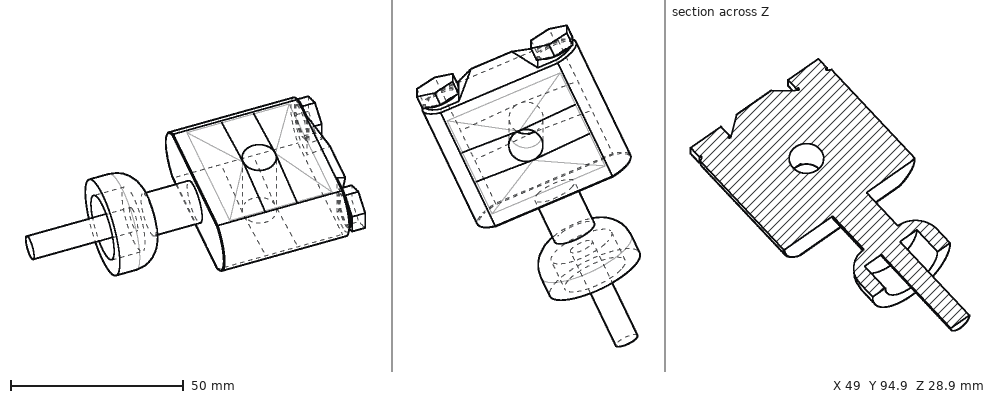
import cadquery as cq
import math

body_half_width = 24.5
body_half_height = 9.6
flat_half_width = 18.6
seat_y = 39.3
edge_chamfer = 0.3

shoulder_y = 38.6
ridge_y = 44.1
ridge_half_width = 6.45
wedge_half_width = 12.5

hole_y = 19.9
hole_radius = 4.9
pad_half_height = 11.6
pad_half_width = 17.9
pad_half_length = 15.7
pad_root = 8.5

bolt_x = 18.1
head_across_flats = 11.4
head_bottom_y = 39.7
head_top_y = 43.8
washer_radius = 5.1

stem_radius = 6.4
stem_length = 14.2
cup_diameter = 28.9
cup_length = 14.1
cup_rounding = 8.1
bore_radius = 9.7
bore_depth = 9.5
rod_radius = 3.5
overall_length = 94.85
rod_end_y = ridge_y - overall_length


def rod_along_y(radius, start_y, end_y, x=0.0):
    """Cylinder parallel to Y between two Y positions."""
    disc = cq.Workplane("XZ", origin=(x, start_y, 0)).circle(radius)
    return disc.extrude(start_y - end_y)


def body_outline(y):
    """Closed outline of the body, flat on both sides and rounded at both ends."""
    return (
        cq.Workplane("XZ", origin=(0, y, 0))
        .moveTo(-flat_half_width, body_half_height)
        .lineTo(flat_half_width, body_half_height)
        .threePointArc((body_half_width, 0), (flat_half_width, -body_half_height))
        .lineTo(-flat_half_width, -body_half_height)
        .threePointArc((-body_half_width, 0), (-flat_half_width, body_half_height))
        .close()
    )


def make_body():
    """Rounded block up to the bolt seats, with a wedge between the bolts behind it."""
    block = body_outline(0).extrude(-shoulder_y).faces("<Y").chamfer(edge_chamfer)
    bevel_angle = math.degrees(math.atan2(body_half_height, ridge_y - shoulder_y))
    bevel = body_outline(shoulder_y).extrude(shoulder_y - seat_y, taper=bevel_angle)
    return block.union(bevel).union(make_wedge())


def make_wedge():
    side = (
        cq.Workplane("YZ")
        .polyline([
            (shoulder_y, -body_half_height),
            (ridge_y, 0),
            (shoulder_y, body_half_height),
        ])
        .close()
        .extrude(wedge_half_width, both=True)
    )
    plan = (
        cq.Workplane("XY")
        .polyline([
            (-wedge_half_width, shoulder_y),
            (wedge_half_width, shoulder_y),
            (wedge_half_width, seat_y),
            (ridge_half_width, ridge_y),
            (-ridge_half_width, ridge_y),
            (-wedge_half_width, seat_y),
        ])
        .close()
        .extrude(body_half_height, both=True)
    )
    return side.intersect(plan)


def make_half_band():
    """+X half of the pad's middle band, with X = Y = 0 on the axis of the cross hole.

    A ruled surface joins the straight foot of the pad to the half-circle rim of the hole.
    """
    def flat_face(*points):
        return cq.Face.makeFromWires(cq.Wire.makePolygon(list(points), close=True))

    point = cq.Vector
    r = hole_radius
    top = pad_half_height
    foot = body_half_height
    rim_a, rim_b = point(0, -r, top), point(0, r, top)
    foot_a, foot_b = point(pad_half_width, -r, foot), point(pad_half_width, r, foot)
    root_a, root_b = point(0, -r, pad_root), point(0, r, pad_root)
    toe_a, toe_b = point(pad_half_width, -r, pad_root), point(pad_half_width, r, pad_root)

    rim_arc = cq.Edge.makeThreePointArc(rim_a, point(r, 0, top), rim_b)
    rim_chord = cq.Edge.makeLine(rim_a, rim_b)
    foot_line = cq.Edge.makeLine(foot_a, foot_b)
    faces = [
        cq.Face.makeRuledSurface(rim_arc, foot_line),
        cq.Face.makeFromWires(cq.Wire.assembleEdges([rim_arc, rim_chord])),
        flat_face(rim_a, foot_a, toe_a, root_a),
        flat_face(rim_b, foot_b, toe_b, root_b),
        flat_face(foot_a, foot_b, toe_b, toe_a),
        flat_face(root_a, root_b, toe_b, toe_a),
        flat_face(rim_a, rim_b, root_b, root_a),
    ]
    band = cq.Solid.makeSolid(cq.Shell.makeShell(faces))
    return cq.Workplane(obj=band)


def make_pad():
    """Pad on the +Z side: four sloping faces, and a band that rises to the hole's rim."""
    rise_x = (
        cq.Workplane("XZ")
        .polyline([
            (-pad_half_width, pad_root),
            (pad_half_width, pad_root),
            (pad_half_width, body_half_height),
            (0, pad_half_height),
            (-pad_half_width, body_half_height),
        ])
        .close()
        .extrude(pad_half_length, both=True)
    )
    rise_y = (
        cq.Workplane("YZ")
        .polyline([
            (-pad_half_length, pad_root),
            (pad_half_length, pad_root),
            (pad_half_length, body_half_height),
            (hole_radius, pad_half_height),
            (-hole_radius, pad_half_height),
            (-pad_half_length, body_half_height),
        ])
        .close()
        .extrude(pad_half_width, both=True)
    )
    half_band = make_half_band()
    pad = rise_x.intersect(rise_y).union(half_band).union(half_band.mirror("YZ"))
    return pad.translate((0, hole_y, 0))


def make_bolt(x):
    head_across_corners = head_across_flats / math.cos(math.pi / 6)
    head = (
        cq.Workplane("XZ", origin=(x, head_bottom_y, 0))
        .transformed(rotate=(0, 0, 90))
        .polygon(6, head_across_corners)
        .extrude(head_bottom_y - head_top_y)
    )
    washer = rod_along_y(washer_radius, seat_y, head_bottom_y, x)
    return head.union(washer)


def make_stem():
    cup_top_y = -stem_length
    cup_rim_y = cup_top_y - cup_length
    cup = rod_along_y(cup_diameter / 2, cup_top_y, cup_rim_y)
    cup = cup.faces(">Y").edges().fillet(cup_rounding)
    bore = rod_along_y(bore_radius, cup_rim_y + bore_depth, cup_rim_y)
    stem = rod_along_y(stem_radius, 0, cup_top_y)
    rod = rod_along_y(rod_radius, cup_rim_y + bore_depth, rod_end_y)
    return cup.cut(bore).union(stem).union(rod)


pad = make_pad()
cross_hole = (
    cq.Workplane("XY", origin=(0, hole_y, 0)).circle(hole_radius).extrude(pad_half_height, both=True)
)

result = make_body().union(pad).union(pad.mirror("XY")).cut(cross_hole)
for x in (-bolt_x, bolt_x):
    result = result.union(make_bolt(x))
result = result.union(make_stem())